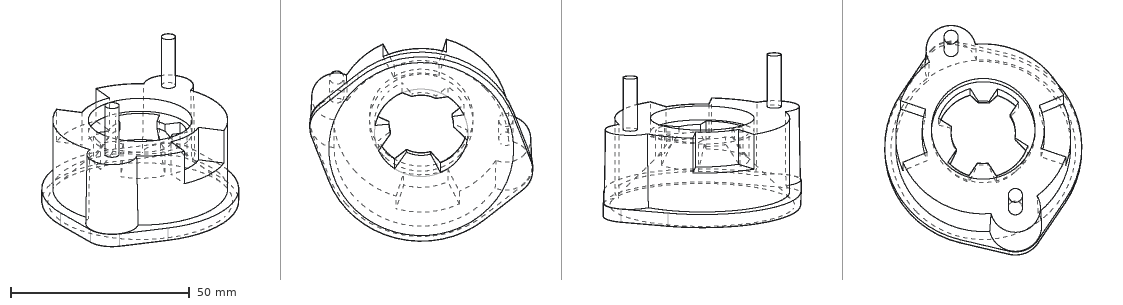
import cadquery as cq
import math

flange_top = 3.8
housing_top = 25.0
pin_top = 40.0

flange_radius = 27.6
housing_radius = 24.5
ear_distance = 24.5
ear_angles = [-35.2, 144.8]
ear_top_radius = 7.0
ear_draft = 1.0
flange_ear_radius = 7.55
pin_radius = 2.0

bore_radius = 14.5
ledge_height = 21.0
slot_radius = 13.1
slot_bottom = 12.95
lug_inner_radius = 9.0
lug_inner_bottom = 18.85
cavity_bottom_radius = 25.9
slot_width = 7.0
slot_angles = [0, 90, -25]

notch_floor = 15.0
notch_inner_radius = 17.1
notch_angles = [35.2, 215.2]
notch_span = 42.5


def polar(radius, degrees):
    """Point at the given radius and direction from the axis."""
    angle = math.radians(degrees)
    return radius * math.cos(angle), radius * math.sin(angle)


def cylinder(radius, bottom, top, center=(0, 0)):
    return cq.Workplane("XY", origin=(*center, bottom)).circle(radius).extrude(top - bottom)


def flange_arm(angle):
    """Part of the flange under one ear, with sides tangent to the main disc."""
    center = polar(ear_distance, angle)
    tangent_angle = math.degrees(math.acos((flange_radius - flange_ear_radius) / ear_distance))
    first, last = angle - tangent_angle, angle + tangent_angle

    def ear_edge(direction):
        offset = polar(flange_ear_radius, direction)
        return center[0] + offset[0], center[1] + offset[1]

    return (
        cq.Workplane("XY")
        .lineTo(*polar(flange_radius, first))
        .lineTo(*ear_edge(first))
        .threePointArc(ear_edge(angle), ear_edge(last))
        .lineTo(*polar(flange_radius, last))
        .close()
        .extrude(flange_top)
    )


def ear(angle):
    """Round post that widens from the housing top down to the flange."""
    return (
        cq.Workplane("XY", origin=(*polar(ear_distance, angle), housing_top))
        .circle(ear_top_radius)
        .extrude(flange_top - housing_top, taper=-ear_draft)
    )


def bore():
    """Stepped bore inside the lugs, flaring out towards the base."""
    return (
        cq.Workplane("XZ")
        .lineTo(cavity_bottom_radius, 0)
        .lineTo(slot_radius, slot_bottom)
        .lineTo(lug_inner_radius, lug_inner_bottom)
        .lineTo(lug_inner_radius, ledge_height)
        .lineTo(bore_radius, ledge_height)
        .lineTo(bore_radius, housing_top)
        .lineTo(0, housing_top)
        .close()
        .revolve(360, (0, 0, 0), (0, 1, 0))
    )


def bayonet_slots():
    """Straight slots across the bore; two of them overlap into one wide opening."""
    slots = cq.Workplane("XY")
    for angle in slot_angles:
        slot = (
            cq.Workplane("XY", origin=(0, 0, slot_bottom))
            .rect(2 * bore_radius, slot_width)
            .extrude(ledge_height - slot_bottom)
            .rotate((0, 0, 0), (0, 0, 1), angle)
        )
        slots = slots.union(slot)
    return slots.intersect(cylinder(slot_radius, slot_bottom, ledge_height))


def notch(angle):
    """Ring sector with radial sides, open at the rim and the outer wall."""
    first, last = angle - notch_span / 2, angle + notch_span / 2
    return (
        cq.Workplane("XY", origin=(0, 0, notch_floor))
        .moveTo(*polar(notch_inner_radius, first))
        .lineTo(*polar(flange_radius, first))
        .threePointArc(polar(flange_radius, angle), polar(flange_radius, last))
        .lineTo(*polar(notch_inner_radius, last))
        .threePointArc(polar(notch_inner_radius, angle), polar(notch_inner_radius, first))
        .close()
        .extrude(housing_top - notch_floor)
    )


def make_housing():
    body = cylinder(flange_radius, 0, flange_top)
    body = body.union(cylinder(housing_radius, 0, housing_top))
    for angle in ear_angles:
        body = body.union(flange_arm(angle)).union(ear(angle))
    body = body.clean().cut(bore()).cut(bayonet_slots())
    for angle in notch_angles:
        body = body.cut(notch(angle))
    return body


def make_pin(angle):
    """Pin standing on top of one ear."""
    return cylinder(pin_radius, housing_top, pin_top, polar(ear_distance, angle))


housing = make_housing()
pins = [make_pin(angle) for angle in ear_angles]

result = cq.Compound.makeCompound([housing.val(), *[pin.val() for pin in pins]])